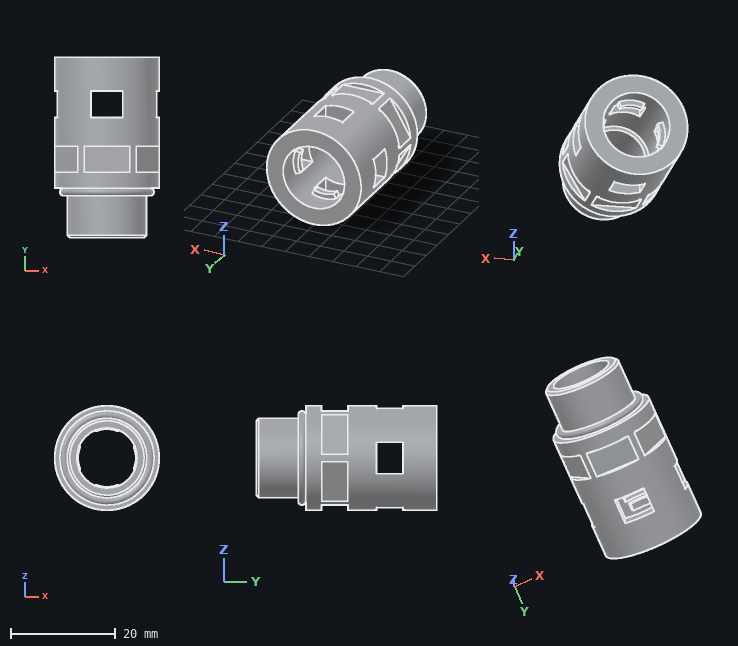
import cadquery as cq
import math


body_radius = 10.0
body_length = 25.0

spigot_radius = 7.6
spigot_length = 9.5
tip_chamfer = 0.5

ring_radius = 9.0
ring_section_radius = 0.75

front_bore_radius = 5.75
socket_radius = 6.5
socket_depth = 20.0

window_count = 4
window_width = 6.0
window_length = 5.0
window_rear_margin = 6.5
window_end = body_length - window_rear_margin

lug_inner_radius = 5.5
lug_angle = 45.0
lug_setback = 0.5
lug_length = 1.5
wall_overlap = 0.5

flat_count = 6
flat_distance = 9.0
flat_length = 5.0
flat_rear_margin = 17.0
flat_end = body_length - flat_rear_margin


def cylinder(radius, y_start, y_end):
    """Solid cylinder on the Y axis between two stations."""
    plane = cq.Workplane("XZ", origin=(0, y_start, 0))
    return plane.circle(radius).extrude(y_start - y_end)


def block(width, y_start, y_end, z_bottom, z_top):
    """Box centred on x = 0."""
    size = (width, y_end - y_start, z_top - z_bottom)
    centre = (0, (y_start + y_end) / 2, (z_bottom + z_top) / 2)
    return cq.Workplane("XY").box(*size).translate(centre)


def around_axis(shape, count):
    """Copies of a shape evenly spaced about the Y axis."""
    copies = cq.Workplane("XY")
    for i in range(count):
        copies = copies.add(shape.rotate((0, 0, 0), (0, 1, 0), i * 360 / count))
    return copies.combine()


def make_blank():
    body = cylinder(body_radius, 0, body_length)
    spigot = cylinder(spigot_radius, -spigot_length, 0).faces("<Y").chamfer(tip_chamfer)
    return body.union(spigot)


def make_sealing_ring():
    path_radius = ring_radius - ring_section_radius
    section = cq.Workplane("XY").center(-path_radius, -ring_section_radius).circle(ring_section_radius)
    return section.revolve(360, (path_radius, 0), (path_radius, 1))


def make_bores():
    front_bore = cylinder(front_bore_radius, -spigot_length, body_length)
    socket = cylinder(socket_radius, body_length - socket_depth, body_length)
    return front_bore.union(socket)


def make_windows():
    window = block(window_width, window_end - window_length, window_end, 0, body_radius)
    return around_axis(window, window_count)


def make_flats():
    cut = block(2 * body_radius, flat_end - flat_length, flat_end, flat_distance, body_radius)
    return around_axis(cut, flat_count)


def make_lugs():
    y_start = window_end + lug_setback
    lug_ring = cylinder(socket_radius + wall_overlap, y_start, y_start + lug_length)
    lug_ring = lug_ring.cut(cylinder(lug_inner_radius, y_start, y_start + lug_length))
    half_width = body_radius * math.tan(math.radians(lug_angle / 2))
    sector_plane = cq.Workplane("XZ", origin=(0, y_start, 0))
    sector = sector_plane.polyline([(0, 0), (half_width, body_radius), (-half_width, body_radius)])
    sector = sector.close().extrude(-lug_length)
    return around_axis(sector.intersect(lug_ring), window_count)


result = make_blank().union(make_sealing_ring())
result = result.cut(make_bores()).cut(make_windows()).cut(make_flats())
result = result.union(make_lugs())